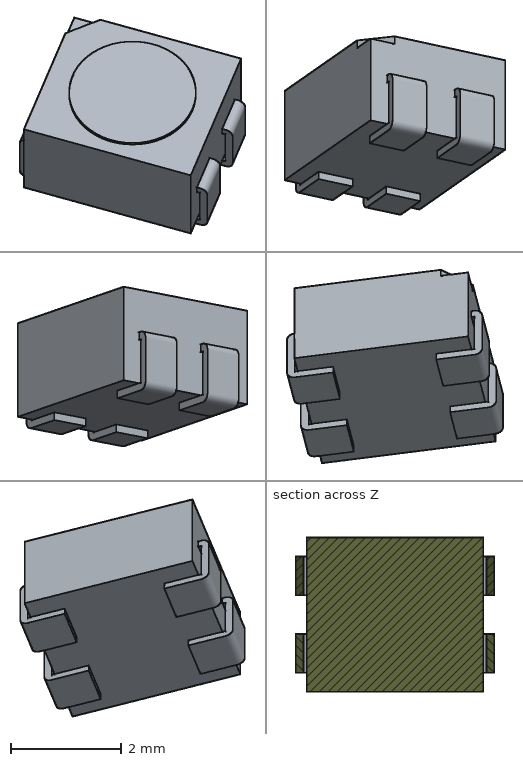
import cadquery as cq

overall_length = 3.6
overall_height = 1.95

housing_length = 3.2
housing_width = 2.8
lens_diameter = 2.3
lens_height = 0.05
corner_mark_size = 0.5
corner_mark_depth = 0.15

lead_thickness = 0.145
lead_width = 0.705
lead_height = 1.1
lead_offset = 0.702
foot_length = 0.85
bend_radius = 0.145

housing_bottom = lead_thickness
housing_top = overall_height - lens_height


def make_lead(center_y):
    """One strip: a bar through the housing, bent down at both ends into inward feet."""
    inner_length = overall_length - 2 * lead_thickness
    inner_height = lead_height - 2 * lead_thickness
    foot_gap = overall_length - 2 * foot_length
    loop = (
        cq.Workplane("XY")
        .box(overall_length, lead_width, lead_height, centered=(True, True, False))
        .edges("|Y")
        .fillet(bend_radius)
    )
    window = (
        cq.Workplane("XY")
        .workplane(offset=lead_thickness)
        .box(inner_length, lead_width, inner_height, centered=(True, True, False))
    )
    gap_between_feet = cq.Workplane("XY").box(
        foot_gap, lead_width, lead_thickness, centered=(True, True, False)
    )
    return loop.cut(window).cut(gap_between_feet).translate((0, center_y, 0))


def make_corner_mark():
    """Triangular prism removed from the top corner at -X, +Y."""
    corner_x = -housing_length / 2
    corner_y = housing_width / 2
    return (
        cq.Workplane("XY")
        .workplane(offset=housing_top - corner_mark_depth)
        .moveTo(corner_x, corner_y)
        .lineTo(corner_x, corner_y - corner_mark_size)
        .lineTo(corner_x + corner_mark_size, corner_y)
        .close()
        .extrude(corner_mark_depth)
    )


def make_housing(leads):
    """Block with a raised round lens, a corner mark and slots matching the lead strips."""
    block = (
        cq.Workplane("XY")
        .workplane(offset=housing_bottom)
        .box(housing_length, housing_width, housing_top - housing_bottom, centered=(True, True, False))
    )
    lens = cq.Workplane("XY").workplane(offset=housing_top).circle(lens_diameter / 2).extrude(lens_height)
    housing = block.union(lens).cut(make_corner_mark())
    for lead in leads:
        housing = housing.cut(lead)
    return housing


leads = [make_lead(side * lead_offset) for side in (-1, 1)]
housing = make_housing(leads)

result = cq.Compound.makeCompound([housing.solids().val(), *[lead.solids().val() for lead in leads]])